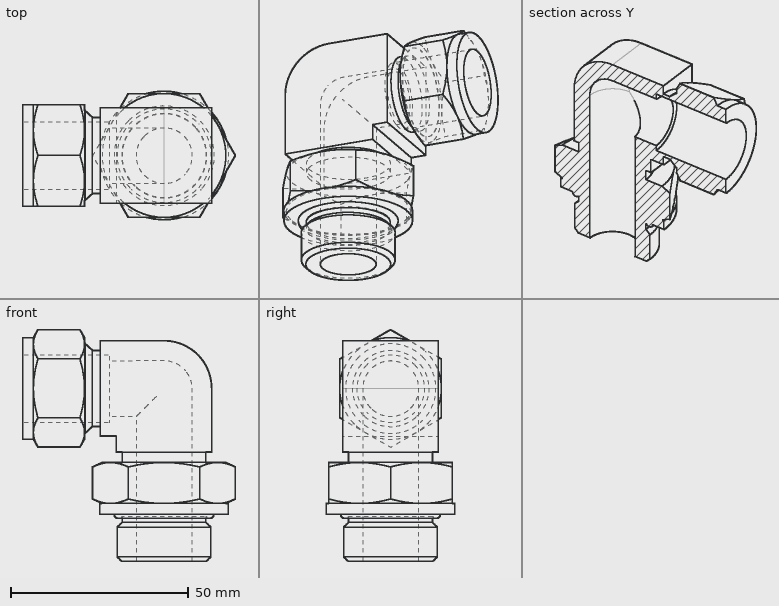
import cadquery as cq
import math


body_half_width = 13.49
body_arm = 17.97

tube_end = 39.88
tube_cap_length = 3.05
tube_nut_length = 14.43
tube_nut_bevel_angle = 30.0
tube_collar_length = 0.15
tube_nut_flats = 28.7
tube_cone_length = 2.09
tube_cone_radius = 12.7
tube_neck_radius = 10.77
tube_socket_radius = 9.525
tube_socket_depth = 24.4

stud_end = 48.77
stud_nut_start = 20.9
stud_nut_length = 11.55
stud_nut_flats = 34.925
stud_nut_bevel_angle = 25.0
stud_neck_radius = 11.85
washer_radius = 18.16
washer_length = 3.05
seal_radius = 14.1
seal_tube_radius = 1.18
thread_start = 37.8
thread_radius = 13.25
thread_run_in = 1.34
thread_chamfer = 1.27

bore_radius = 7.87


def shaft(radius, start, end):
    """Cylinder on the Z axis, from depth start down to depth end."""
    return cq.Workplane("XY").workplane(offset=-end).circle(radius).extrude(end - start)


def frustum(start_radius, end_radius, start, end):
    """Cone on the Z axis, from depth start down to depth end."""
    profile = [(0, -start), (start_radius, -start), (end_radius, -end), (0, -end)]
    return cq.Workplane("XZ").polyline(profile).close().revolve(360, (0, 0, 0), (0, 1, 0))


def hex_nut(flats, start, length, bevel_angle):
    """Hexagon on the Z axis, corners on X, with the corners bevelled at both ends."""
    end = start + length
    corner_radius = flats / math.sqrt(3)
    flat_radius = flats / 2
    bevel = (corner_radius - flat_radius) * math.tan(math.radians(bevel_angle))
    hexagon = cq.Workplane("XY").workplane(offset=-end).polygon(6, 2 * corner_radius).extrude(length)
    envelope = (
        frustum(flat_radius, corner_radius, start, start + bevel)
        .union(shaft(corner_radius, start + bevel, end - bevel))
        .union(frustum(corner_radius, flat_radius, end - bevel, end))
    )
    return hexagon.intersect(envelope)


def to_tube_axis(shape):
    """Turn a shape built along -Z so that it lies along -X."""
    return shape.rotate((0, 0, 0), (0, 1, 0), 90)


def elbow_body():
    half = body_half_width
    return (
        cq.Workplane("XZ")
        .moveTo(-body_arm, half)
        .lineTo(0, half)
        .radiusArc((half, 0), half)
        .lineTo(half, -body_arm)
        .lineTo(-half, -body_arm)
        .lineTo(-half, -half)
        .lineTo(-body_arm, -half)
        .close()
        .extrude(half, both=True)
    )


def tube_port():
    cap_start = tube_end - tube_cap_length
    nut_start = cap_start - tube_nut_length
    collar_start = nut_start - tube_collar_length
    cone_start = collar_start - tube_cone_length
    port = (
        shaft(tube_neck_radius, 0, cone_start)
        .union(frustum(tube_neck_radius, tube_cone_radius, cone_start, collar_start))
        .union(shaft(tube_cone_radius, collar_start, nut_start))
        .union(hex_nut(tube_nut_flats, nut_start, tube_nut_length, tube_nut_bevel_angle))
        .union(shaft(tube_nut_flats / 2, cap_start, tube_end))
    )
    return to_tube_axis(port)


def seal_ring(depth):
    """O-ring half sunk in the washer face at the given depth."""
    ring_radius = seal_radius - seal_tube_radius
    return (
        cq.Workplane("XZ")
        .center(ring_radius, -depth)
        .circle(seal_tube_radius)
        .revolve(360, (-ring_radius, 0, 0), (-ring_radius, 1, 0))
    )


def stud_port():
    washer_start = stud_nut_start + stud_nut_length
    washer_end = washer_start + washer_length
    thread_full = thread_start + thread_run_in
    chamfer_start = stud_end - thread_chamfer
    return (
        shaft(stud_neck_radius, 0, thread_start)
        .union(hex_nut(stud_nut_flats, stud_nut_start, stud_nut_length, stud_nut_bevel_angle))
        .union(shaft(washer_radius, washer_start, washer_end))
        .union(seal_ring(washer_end))
        .union(frustum(stud_neck_radius, thread_radius, thread_start, thread_full))
        .union(shaft(thread_radius, thread_full, chamfer_start))
        .union(frustum(thread_radius, thread_radius - thread_chamfer, chamfer_start, stud_end))
    )


def flow_passage():
    """Two bores joined by a sphere at the bend, and the wider tube socket."""
    socket = shaft(tube_socket_radius, tube_end - tube_socket_depth, tube_end)
    stud_bore = shaft(bore_radius, 0, stud_end)
    tube_bore = to_tube_axis(shaft(bore_radius, 0, tube_end).union(socket))
    return cq.Workplane("XY").sphere(bore_radius).union(stud_bore).union(tube_bore)


result = elbow_body().union(tube_port()).union(stud_port()).cut(flow_passage())